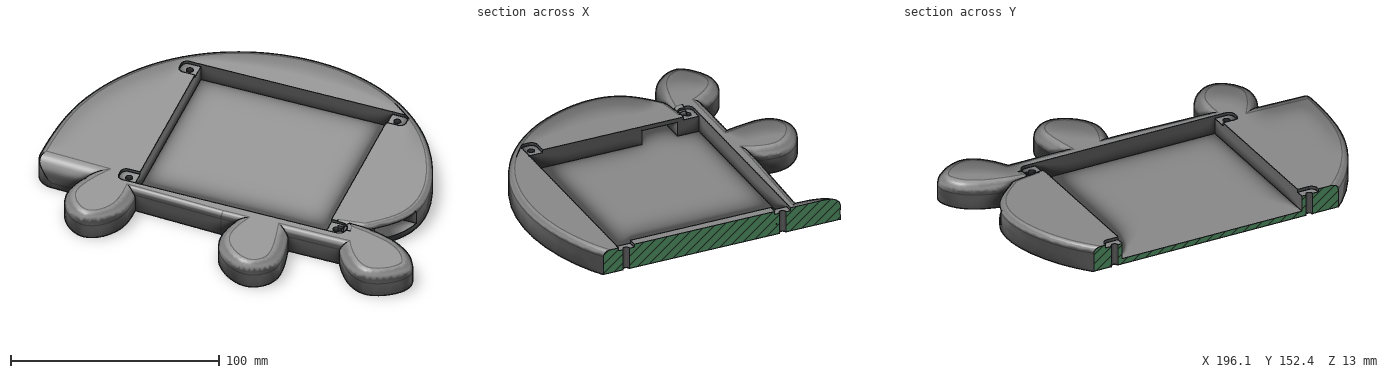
import cadquery as cq
import math


HEIGHT = 13.0
LEFT_X = -99.5
SHELL_ROUND = 3.0
CHIN_CORNER = (LEFT_X, -49.1)
CHIN_CORNER_RADIUS = 9.5
BELLY_BREAK = (-2.0, -52.6)
BELLY_END = (64.8, BELLY_BREAK[1])

DOME_POINTS = [
    (-93.1, 5.5),
    (-74.6, 36.1),
    (-46.7, 57.5),
    (-2.0, 68.7),
    (40.9, 59.5),
    (67.8, 38.3),
    (81.5, 14.5),
    (85.6, -5.9),
    (79.2, -25.5),
    (68.7, -35.4),
    (53.0, -39.3),
]
DOME_START_DIRECTION = (0, 1)
DOME_END_DIRECTION = (-1, -0.15)

BURIED_Y = -42.2
BURIED_CORNERS = [(54.0, BURIED_Y), (BELLY_END[0], BURIED_Y)]

CHIN_ROUND = 10.0
CHIN_START_X = -110.0
CHIN_END_X = -60.9
REAR_BELLY_ROUND = 3.7
REAR_BELLY_START_X = 19.6
CLEARANCE = 2.0

FOOT_ROUND = 5.3
FRONT_FOOT = [
    (-60.9, -29.5),
    (-75.8, -51.5),
    (-78.0, -63.8),
    (-63.5, -77.4),
    (-49.3, -67.2),
    (-46.5, -53.0),
    (-47.1, -37.3),
]
MIDDLE_FOOT = [
    (15.7, -33.4),
    (4.1, -53.8),
    (2.5, -68.2),
    (13.7, -81.3),
    (24.0, -83.5),
    (32.8, -77.4),
    (34.5, -63.5),
    (30.5, -39.3),
]
REAR_FOOT = [
    (55.4, -43.2),
    (61.7, -57.5),
    (77.0, -69.0),
    (89.5, -65.0),
    (96.6, -55.5),
    (93.5, -46.7),
    (79.0, -37.3),
    (53.5, -32.2),
]

POCKET_LENGTH = 98.2
POCKET_WIDTH = 91.5
FLOOR = 3.1
EAR_REACH = 9.0
EAR_WIDTH = 8.2
EAR_CORNER = 3.05
EAR_DEPTH = 1.5
HOLE_DIAMETER = 3.3
HOLE_X = 53.2
HOLE_Y = 41.6
SLOT_TOP = 10.8
SLOT_WIDTH = 18.9
SLOT_CENTER_Y = -25.0
SLOT_END_X = 98.2


def plate():
    """Domed plate with its upper edge rounded, except where it is buried in the rear foot."""
    blank = (
        cq.Workplane("XY")
        .moveTo(*CHIN_CORNER)
        .spline(DOME_POINTS, tangents=[DOME_START_DIRECTION, DOME_END_DIRECTION], includeCurrent=True)
        .polyline([*BURIED_CORNERS, BELLY_END], includeCurrent=True)
        .lineTo(*BELLY_BREAK)
        .close()
        .extrude(HEIGHT)
        .edges("|Z and <X")
        .fillet(CHIN_CORNER_RADIUS)
    )
    buried_edges = cq.selectors.BoxSelector(
        (DOME_POINTS[-1][0], BELLY_END[1] + CLEARANCE, 0),
        (BELLY_END[0] + CLEARANCE, DOME_POINTS[-1][1], HEIGHT + CLEARANCE),
    )
    return blank.faces(">Z").edges(cq.selectors.InverseSelector(buried_edges)).fillet(SHELL_ROUND)


def belly_waste(line_start, line_end, start_x, end_x, radius):
    """Material outside a rounding of the upper edge along a belly line, between two X places."""
    slope = (line_end[1] - line_start[1]) / (line_end[0] - line_start[0])
    start_y = line_start[1] + slope * (start_x - line_start[0])
    straight_top = HEIGHT - radius
    diagonal = radius * math.sqrt(0.5)
    section = cq.Plane((start_x, start_y, 0), xDir=(-slope, 1, 0), normal=(1, slope, 0))
    return (
        cq.Workplane(section)
        .moveTo(0, straight_top)
        .threePointArc((radius - diagonal, straight_top + diagonal), (radius, HEIGHT))
        .lineTo(radius, HEIGHT + CLEARANCE)
        .lineTo(-CLEARANCE, HEIGHT + CLEARANCE)
        .lineTo(-CLEARANCE, straight_top)
        .close()
        .extrude((end_x - start_x) * math.hypot(1, slope))
    )


def foot(points):
    """Foot with its curved upper edge rounded; its straight closing side lies inside the plate."""
    blank = cq.Workplane("XY").spline(points).close().extrude(HEIGHT)
    return blank.faces(">Z").edges("not %LINE").fillet(FOOT_ROUND)


def pocket():
    """Rectangular recess open at the top."""
    return (
        cq.Workplane("XY", origin=(0, 0, FLOOR))
        .rect(POCKET_LENGTH, POCKET_WIDTH)
        .extrude(HEIGHT)
    )


def screw_ears():
    """Shallow ledges beside the pocket corners, two strips with rounded ends."""
    return (
        cq.Workplane("XY", origin=(0, 0, HEIGHT - EAR_DEPTH))
        .pushPoints([(0, side * (POCKET_WIDTH - EAR_WIDTH) / 2) for side in (-1, 1)])
        .rect(POCKET_LENGTH + 2 * EAR_REACH, EAR_WIDTH)
        .extrude(HEIGHT)
        .edges("|Z")
        .fillet(EAR_CORNER)
    )


def screw_holes():
    """Through holes in the four ears."""
    return (
        cq.Workplane("XY")
        .rect(2 * HOLE_X, 2 * HOLE_Y, forConstruction=True)
        .vertices()
        .circle(HOLE_DIAMETER / 2)
        .extrude(HEIGHT)
    )


def cable_slot():
    """Passage at floor level from the pocket out through the right side of the plate."""
    return (
        cq.Workplane("XY")
        .box(SLOT_END_X, SLOT_WIDTH, SLOT_TOP - FLOOR, centered=(False, True, False))
        .translate((0, SLOT_CENTER_Y, FLOOR))
    )


chin_waste = belly_waste(CHIN_CORNER, BELLY_BREAK, CHIN_START_X, CHIN_END_X, CHIN_ROUND)
rear_belly_waste = belly_waste(
    BELLY_BREAK, BELLY_END, REAR_BELLY_START_X, BELLY_END[0], REAR_BELLY_ROUND
)
result = plate().cut(chin_waste).cut(rear_belly_waste)
for outline in (FRONT_FOOT, MIDDLE_FOOT, REAR_FOOT):
    result = result.union(foot(outline))
result = result.cut(pocket()).cut(screw_ears()).cut(screw_holes()).cut(cable_slot())